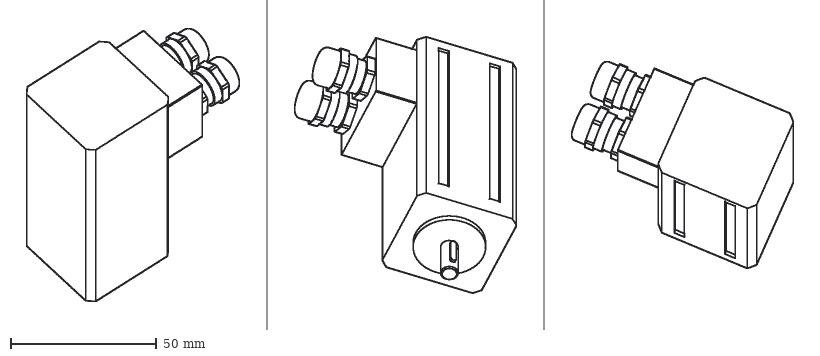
import cadquery as cq

total_height = 97.0
total_depth = 70.6

housing_side = 37.0
corner_diameter = 48.9
pilot_diameter = 25.0
pilot_height = 2.0

shaft_diameter = 6.0
shaft_length = 14.0
shaft_chamfer = 0.5
key_length = 10.0
key_width = 1.9
key_rise = 0.9
key_gap = 0.9

groove_width = 3.9
groove_depth = 1.2
groove_spacing = 19.0
groove_top_margin = 3.9
groove_bottom_margin = 7.0

gland_spacing = 16.5
gland_hex_flats = 14.0
gland_hex_corners = 15.5
gland_neck_diameter = 12.0
gland_cap_diameter = 13.6
gland_cap_fillet = 2.0
base_hex_length = 2.9
neck_length = 3.5
collar_length = 3.2
cap_hex_length = 3.0
cap_end_length = 5.8

box_width = 32.0
box_height = 27.8
box_top_drop = 5.1
box_edge_chamfer = 0.3

pilot_bottom = shaft_length
housing_bottom = pilot_bottom + pilot_height
housing_height = total_height - housing_bottom
half_side = housing_side / 2
gland_length = base_hex_length + neck_length + collar_length + cap_hex_length + cap_end_length
box_depth = total_depth - housing_side - gland_length
box_center_z = total_height - box_top_drop - box_height / 2
gland_seat_y = half_side + box_depth


def make_housing():
    """Block with turned corners, its pilot and the two grooves."""
    base = cq.Workplane("XY", origin=(0, 0, housing_bottom))
    turned_bar = base.circle(corner_diameter / 2).extrude(housing_height)
    block = base.rect(housing_side, housing_side).extrude(housing_height).intersect(turned_bar)
    pilot = (
        cq.Workplane("XY", origin=(0, 0, pilot_bottom))
        .circle(pilot_diameter / 2)
        .extrude(pilot_height)
    )
    groove_length = housing_height - groove_top_margin - groove_bottom_margin
    groove_center_z = housing_bottom + groove_bottom_margin + groove_length / 2
    grooves = (
        cq.Workplane("YZ", origin=(-half_side, 0, groove_center_z))
        .rarray(groove_spacing, 1, 2, 1)
        .rect(groove_width, groove_length)
        .extrude(groove_depth)
    )
    return block.union(pilot).cut(grooves)


def make_shaft():
    """Shaft hanging from the pilot, with its round-ended key."""
    shaft = (
        cq.Workplane("XY")
        .circle(shaft_diameter / 2)
        .extrude(shaft_length)
        .faces("<Z")
        .chamfer(shaft_chamfer)
    )
    key_center_z = shaft_length - key_gap - key_length / 2
    key = (
        cq.Workplane("YZ", origin=(0, 0, key_center_z))
        .slot2D(key_length, key_width, 90)
        .extrude(-(shaft_diameter / 2 + key_rise))
    )
    return shaft.union(key)


def make_terminal_box():
    """Rectangular box with lightly broken edges along Y."""
    return (
        cq.Workplane("XZ", origin=(0, half_side, box_center_z))
        .rect(box_width, box_height)
        .extrude(-box_depth)
        .edges("|Y")
        .chamfer(box_edge_chamfer)
    )


def make_gland(center_x):
    """Cable gland: base hex, neck, and a domed cap carrying a second hex."""

    def section_plane(distance):
        return cq.Workplane("XZ", origin=(center_x, gland_seat_y + distance, box_center_z))

    def hex_section(distance, length):
        plane = section_plane(distance)
        prism = plane.polygon(6, gland_hex_flats, circumscribed=True).extrude(-length)
        return prism.intersect(plane.circle(gland_hex_corners / 2).extrude(-length))

    cap_start = base_hex_length + neck_length
    cap_length = collar_length + cap_hex_length + cap_end_length
    neck = section_plane(0).circle(gland_neck_diameter / 2).extrude(-cap_start)
    cap = (
        section_plane(cap_start)
        .circle(gland_cap_diameter / 2)
        .extrude(-cap_length)
        .faces(">Y")
        .edges()
        .fillet(gland_cap_fillet)
    )
    base_hex = hex_section(0, base_hex_length)
    cap_hex = hex_section(cap_start + collar_length, cap_hex_length)
    return neck.union(base_hex).union(cap).union(cap_hex)


housing = make_housing()
shaft = make_shaft()
terminal_box = make_terminal_box()
glands = []
for side in (-1, 1):
    glands.append(make_gland(side * gland_spacing / 2))

result = cq.Compound.makeCompound(
    [housing.val(), shaft.val(), terminal_box.val(), *[gland.val() for gland in glands]]
)